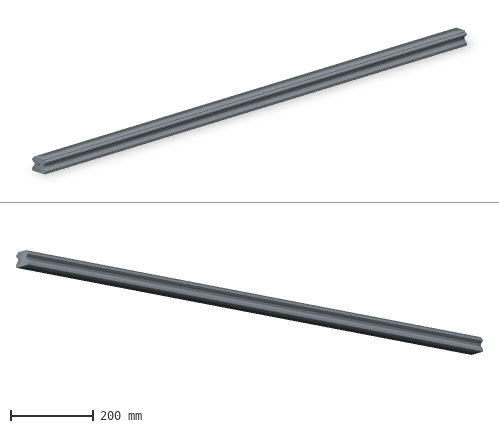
import cadquery as cq
import math

rail_width = 45.0
rail_length = 1435.0
rail_height = 38.0

half_width = rail_width / 2
top_half_width = 14.4
neck_half_width = 15.0
bottom_chamfer = 1.5
base_side_top = 7.5
neck_bottom = 15.8
neck_top = 21.4
head_side_bottom = 27.3
head_side_top = 30.5

groove_width = 3.5
groove_depth = 1.5

end_hole_diameter = 8.0
end_hole_height = rail_height / 2
end_hole_depth = 20.0


def groove_points():
    """Lower edge, deepest point and upper edge of the groove in the +X flank."""
    flank_run = half_width - top_half_width
    flank_rise = rail_height - head_side_top
    flank_length = math.hypot(flank_run, flank_rise)
    inward_x = flank_run / flank_length
    upward_z = flank_rise / flank_length

    middle_x = (half_width + top_half_width) / 2
    middle_z = (head_side_top + rail_height) / 2
    reach_x = inward_x * groove_width / 2
    reach_z = upward_z * groove_width / 2

    lower_edge = (middle_x + reach_x, middle_z - reach_z)
    deepest = (middle_x - upward_z * groove_depth, middle_z - inward_x * groove_depth)
    upper_edge = (middle_x - reach_x, middle_z + reach_z)
    return lower_edge, deepest, upper_edge


def rail_body():
    """Extrude the +X half of the cross-section along the rail and mirror it."""
    lower_edge, deepest, upper_edge = groove_points()
    right_half = (
        cq.Workplane("XZ", origin=(0, rail_length / 2, 0))
        .moveTo(0, 0)
        .lineTo(half_width - bottom_chamfer, 0)
        .lineTo(half_width, bottom_chamfer)
        .lineTo(half_width, base_side_top)
        .lineTo(neck_half_width, neck_bottom)
        .lineTo(neck_half_width, neck_top)
        .lineTo(half_width, head_side_bottom)
        .lineTo(half_width, head_side_top)
        .lineTo(*lower_edge)
        .threePointArc(deepest, upper_edge)
        .lineTo(top_half_width, rail_height)
        .lineTo(0, rail_height)
        .close()
        .extrude(rail_length)
    )
    return right_half.union(right_half.mirror("YZ")).clean()


def end_hole():
    """Cylinder that cuts the blind hole into the front end face."""
    return (
        cq.Workplane("XZ", origin=(0, -rail_length / 2, end_hole_height))
        .circle(end_hole_diameter / 2)
        .extrude(-end_hole_depth)
    )


result = rail_body().cut(end_hole())